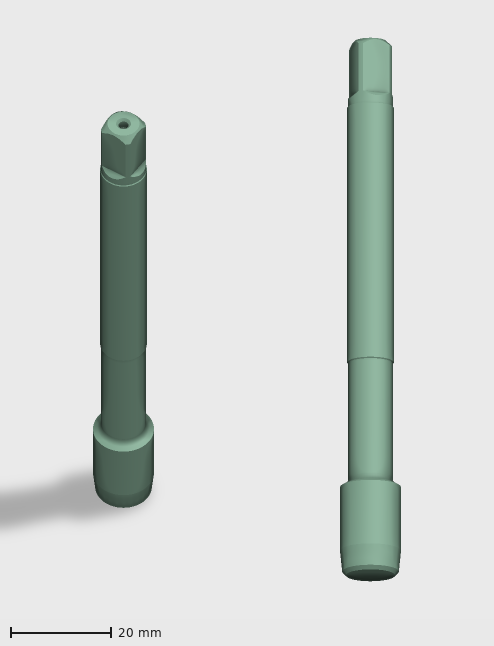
import cadquery as cq
import math

TOTAL_LENGTH = 110.0

HEAD_DIAMETER = 12.2
HEAD_LENGTH = 18.2
LEAD_LENGTH = 5.1
LEAD_END_DIAMETER = 11.3
TIP_CHAMFER = 0.8

SHOULDER_SLOPE = math.radians(30)
SHOULDER_FILLET = 1.3
NECK_DIAMETER = 8.9

SHANK_DIAMETER = 9.4
SHANK_BOTTOM = 43.7
SHANK_TOP = 96.5

DRIVE_DIAMETER = 9.0
DRIVE_WIDTH = 7.0
DRIVE_LENGTH = 11.1
DRIVE_CHAMFER = 1.3

CENTRE_MOUTH_DIAMETER = 3.0
CENTRE_HOLE_DIAMETER = 2.0
CENTRE_HOLE_DEPTH = 2.2
CENTRE_POINT_ANGLE = math.radians(120)

HEAD_RADIUS = HEAD_DIAMETER / 2
NECK_RADIUS = NECK_DIAMETER / 2
DRIVE_RADIUS = DRIVE_DIAMETER / 2


def make_head():
    """Cylinder with a slightly tapered lead and a chamfered tip."""
    lead_radius = LEAD_END_DIAMETER / 2
    return (
        cq.Workplane("XZ")
        .moveTo(0, 0)
        .lineTo(lead_radius - TIP_CHAMFER, 0)
        .lineTo(lead_radius, TIP_CHAMFER)
        .lineTo(HEAD_RADIUS, LEAD_LENGTH)
        .lineTo(HEAD_RADIUS, HEAD_LENGTH)
        .lineTo(0, HEAD_LENGTH)
        .close()
        .revolve(360, (0, 0), (0, 1))
    )


def make_shank_blank():
    """Round stock: sloped shoulder, filleted neck, shank and drive stock."""
    fillet_centre_radius = NECK_RADIUS + SHOULDER_FILLET
    bevel_radius = fillet_centre_radius - SHOULDER_FILLET * math.sin(SHOULDER_SLOPE)
    bevel_top = HEAD_LENGTH + (HEAD_RADIUS - bevel_radius) * math.tan(SHOULDER_SLOPE)
    fillet_top = bevel_top + SHOULDER_FILLET * math.cos(SHOULDER_SLOPE)
    mid_angle = (math.pi / 2 - SHOULDER_SLOPE) / 2
    fillet_mid = (
        fillet_centre_radius - SHOULDER_FILLET * math.cos(mid_angle),
        fillet_top - SHOULDER_FILLET * math.sin(mid_angle),
    )
    shank_radius = SHANK_DIAMETER / 2
    top_step = shank_radius - DRIVE_RADIUS
    bottom_step = shank_radius - NECK_RADIUS
    return (
        cq.Workplane("XZ")
        .moveTo(0, HEAD_LENGTH)
        .lineTo(HEAD_RADIUS, HEAD_LENGTH)
        .lineTo(bevel_radius, bevel_top)
        .threePointArc(fillet_mid, (NECK_RADIUS, fillet_top))
        .lineTo(NECK_RADIUS, SHANK_BOTTOM)
        .lineTo(shank_radius, SHANK_BOTTOM + bottom_step)
        .lineTo(shank_radius, SHANK_TOP - top_step)
        .lineTo(DRIVE_RADIUS, SHANK_TOP)
        .lineTo(DRIVE_RADIUS, TOTAL_LENGTH - DRIVE_CHAMFER)
        .lineTo(DRIVE_RADIUS - DRIVE_CHAMFER, TOTAL_LENGTH)
        .lineTo(0, TOTAL_LENGTH)
        .close()
        .revolve(360, (0, 0), (0, 1))
    )


def make_flat_cutter():
    """Material removed on the +X side: a flat that runs out along a 45 degree slope."""
    flat_bottom = TOTAL_LENGTH - DRIVE_LENGTH
    half_width = DRIVE_WIDTH / 2
    reach = DRIVE_DIAMETER - half_width
    return (
        cq.Workplane("XZ")
        .moveTo(half_width, TOTAL_LENGTH)
        .lineTo(half_width, flat_bottom)
        .lineTo(half_width + reach, flat_bottom - reach)
        .lineTo(half_width + reach, TOTAL_LENGTH)
        .close()
        .extrude(DRIVE_RADIUS, both=True)
    )


def make_centre_hole():
    """Centre hole with a 45 degree countersunk mouth and a conical bottom."""
    hole_radius = CENTRE_HOLE_DIAMETER / 2
    mouth_radius = CENTRE_MOUTH_DIAMETER / 2
    mouth_bottom = TOTAL_LENGTH - (mouth_radius - hole_radius)
    point_depth = hole_radius / math.tan(CENTRE_POINT_ANGLE / 2)
    hole_bottom = TOTAL_LENGTH - CENTRE_HOLE_DEPTH
    return (
        cq.Workplane("XZ")
        .moveTo(0, hole_bottom - point_depth)
        .lineTo(hole_radius, hole_bottom)
        .lineTo(hole_radius, mouth_bottom)
        .lineTo(mouth_radius, TOTAL_LENGTH)
        .lineTo(0, TOTAL_LENGTH)
        .close()
        .revolve(360, (0, 0), (0, 1))
    )


def make_shank():
    shank = make_shank_blank().cut(make_centre_hole())
    for angle in (0, 90, 180, 270):
        shank = shank.cut(make_flat_cutter().rotate((0, 0, 0), (0, 0, 1), angle))
    return shank


head = make_head()
shank = make_shank()

result = cq.Compound.makeCompound([head.val(), shank.val()])